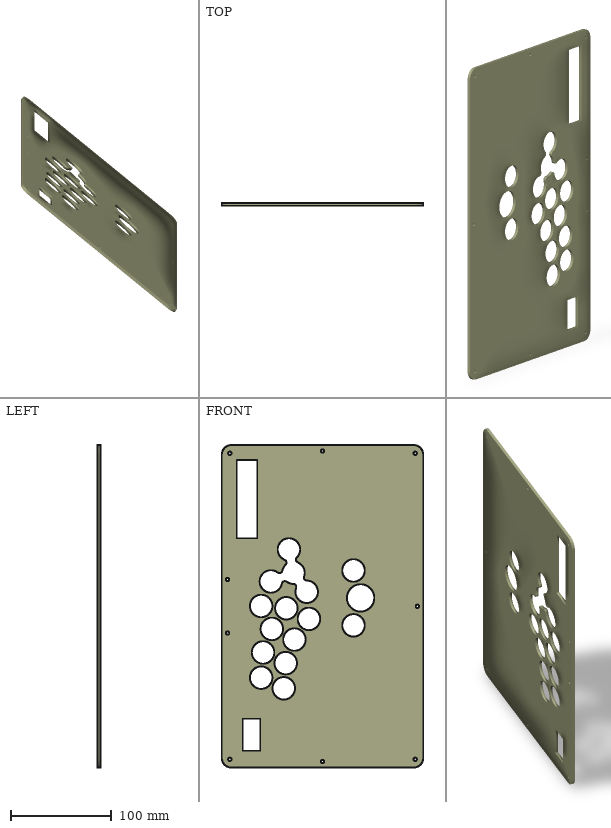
import cadquery as cq
import math

width = 200.0
height = 320.0
thickness = 3.0
corner_radius = 10.0

screw_diameter = 3.2
corner_screw_x = 92.0
corner_screw_z = 151.7
end_screw_z = 154.0
side_screw_x = 94.0
left_screw_z = 26.5

button_diameter = 22.0
large_button_diameter = 27.0
row_step_x = 22.5
row_step_z = -10.5
row_starts = [(-36.0, -2.0), (-50.2, -22.5), (-59.0, -45.8), (-60.8, -70.7)]
lone_button = (-60.8, 0.3)

large_button = (37.8, 8.3)
side_button_x = 30.7
side_button_spacing = 27.2

hub = (-28.8, 33.3)
cluster_buttons = [(-33.3, 56.3), (-51.2, 24.5), (-15.7, 14.5)]
neck_round_radius = 6.0 / 2

upper_window = ((-75.0, 106.2), 20.0, 77.0)
lower_window = ((-70.5, -127.5), 17.3, 31.5)


def back_face():
    """XZ workplane on the back face; positive extrusion runs toward -Y."""
    return cq.Workplane("XZ", origin=(0, thickness / 2, 0))


def cylinders(points, diameter):
    return back_face().pushPoints(points).circle(diameter / 2).extrude(thickness)


def window(centre, window_width, window_height):
    return back_face().center(*centre).rect(window_width, window_height).extrude(thickness)


def neck(start, end):
    """Opening between two button holes, its walls rounded tangent to both."""
    dx = end[0] - start[0]
    dz = end[1] - start[1]
    distance = math.hypot(dx, dz)
    offset = math.sqrt((button_diameter / 2 + neck_round_radius) ** 2 - (distance / 2) ** 2)
    middle_x = (start[0] + end[0]) / 2
    middle_z = (start[1] + end[1]) / 2
    shift_x = -dz / distance * offset
    shift_z = dx / distance * offset
    left_round = (middle_x + shift_x, middle_z + shift_z)
    right_round = (middle_x - shift_x, middle_z - shift_z)
    opening = back_face().polyline([start, left_round, end, right_round]).close().extrude(thickness)
    return opening.cut(cylinders([left_round, right_round], 2 * neck_round_radius))


plate = back_face().rect(width, height).extrude(thickness).edges("|Y").fillet(corner_radius)

screws = [(x, z) for x in (-corner_screw_x, corner_screw_x) for z in (-corner_screw_z, corner_screw_z)]
screws += [(0, end_screw_z), (0, -end_screw_z)]
screws += [(-side_screw_x, left_screw_z), (-side_screw_x, -left_screw_z), (side_screw_x, 0)]
plate = plate.cut(cylinders(screws, screw_diameter))

buttons = [lone_button]
for x, z in row_starts:
    buttons += [(x, z), (x + row_step_x, z + row_step_z)]
for direction in (-1, 1):
    buttons.append((side_button_x, large_button[1] + direction * side_button_spacing))
plate = plate.cut(cylinders(buttons, button_diameter))
plate = plate.cut(cylinders([large_button], large_button_diameter))

plate = plate.cut(cylinders([hub] + cluster_buttons, button_diameter))
for button in cluster_buttons:
    plate = plate.cut(neck(hub, button))

plate = plate.cut(window(*upper_window))
plate = plate.cut(window(*lower_window))

result = plate